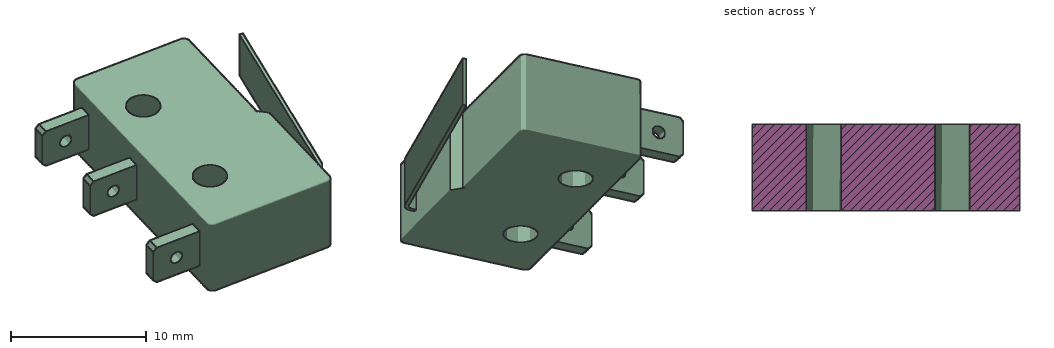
import cadquery as cq
import math

length = 19.8
thickness = 6.4
total_height = 18.45

shoulder_height = 9.9
top_height = 10.6
ramp_end_x = 10.85
ramp_start_x = ramp_end_x - (top_height - shoulder_height)
corner_radius = 0.5
edge_fillet = 0.1

hole_diameter = 2.55
hole_y = 3.0
first_hole_x = 5.3
hole_spacing = 9.5
hole_count = 2

terminal_xs = (2.0, 8.8, 17.8)
terminal_thickness = 1.0
terminal_length = 4.0
terminal_width = 3.3
terminal_chamfer = 0.3
terminal_hole_diameter = 1.0
terminal_hole_y = -terminal_length / 2

lever_width = 3.9
lever_thickness = 0.3
lever_root_x = 17.05
lever_tip_x = 0.55
lever_tip_y = total_height - terminal_length
lever_angle = math.radians(10)
lever_outer_radius = 0.75
lever_embed = 0.5


def make_housing():
    body = (
        cq.Workplane("XY")
        .workplane(offset=-thickness / 2)
        .moveTo(0, 0)
        .lineTo(length, 0)
        .lineTo(length, top_height)
        .lineTo(ramp_end_x, top_height)
        .lineTo(ramp_start_x, shoulder_height)
        .lineTo(0, shoulder_height)
        .close()
        .extrude(thickness)
    )
    outer_corners = [
        (0, 0),
        (length, 0),
        (length, top_height),
        (0, shoulder_height),
    ]
    for corner in outer_corners:
        selector = cq.selectors.NearestToPointSelector((*corner, 0))
        body = body.edges(selector).fillet(corner_radius)
    ramp_edges = cq.selectors.BoxSelector(
        (ramp_start_x, shoulder_height, -thickness),
        (ramp_end_x, top_height, thickness),
    )
    rim_edges = cq.StringSyntaxSelector("not |Z") - ramp_edges
    body = body.edges(rim_edges).fillet(edge_fillet)
    hole_centres = [(first_hole_x + i * hole_spacing, hole_y) for i in range(hole_count)]
    holes = (
        cq.Workplane("XY")
        .pushPoints(hole_centres)
        .circle(hole_diameter / 2)
        .extrude(thickness, both=True)
    )
    return body.cut(holes)


def make_terminal(x):
    blade = (
        cq.Workplane("XY")
        .box(terminal_thickness, terminal_length, terminal_width)
        .translate((x, -terminal_length / 2, 0))
        .edges("|X and <Y")
        .chamfer(terminal_chamfer)
    )
    hole = (
        cq.Workplane("YZ", origin=(x, 0, 0))
        .center(terminal_hole_y, 0)
        .circle(terminal_hole_diameter / 2)
        .extrude(terminal_thickness, both=True)
    )
    return blade.cut(hole)


def make_lever():
    cos_a = math.cos(lever_angle)
    inner_radius = lever_outer_radius - lever_thickness
    bend_x = lever_root_x - lever_outer_radius
    bend_y = (
        lever_tip_y
        - (bend_x - lever_tip_x) * math.tan(lever_angle)
        - lever_outer_radius / cos_a
    )
    mid_angle = (math.pi / 2 - lever_angle) / 2

    def bend_point(radius, angle):
        return (bend_x + radius * math.cos(angle), bend_y + radius * math.sin(angle))

    arm_angle = math.pi / 2 - lever_angle
    root_y = top_height - lever_embed
    tip_lower = (lever_tip_x, lever_tip_y - lever_thickness / cos_a)
    return (
        cq.Workplane("XY")
        .workplane(offset=-lever_width / 2)
        .moveTo(lever_tip_x, lever_tip_y)
        .lineTo(*bend_point(lever_outer_radius, arm_angle))
        .threePointArc(bend_point(lever_outer_radius, mid_angle), (lever_root_x, bend_y))
        .lineTo(lever_root_x, root_y)
        .lineTo(lever_root_x - lever_thickness, root_y)
        .lineTo(lever_root_x - lever_thickness, bend_y)
        .threePointArc(bend_point(inner_radius, mid_angle), bend_point(inner_radius, arm_angle))
        .lineTo(*tip_lower)
        .close()
        .extrude(lever_width)
    )


result = make_housing().union(make_lever())
for terminal_x in terminal_xs:
    result = result.union(make_terminal(terminal_x))